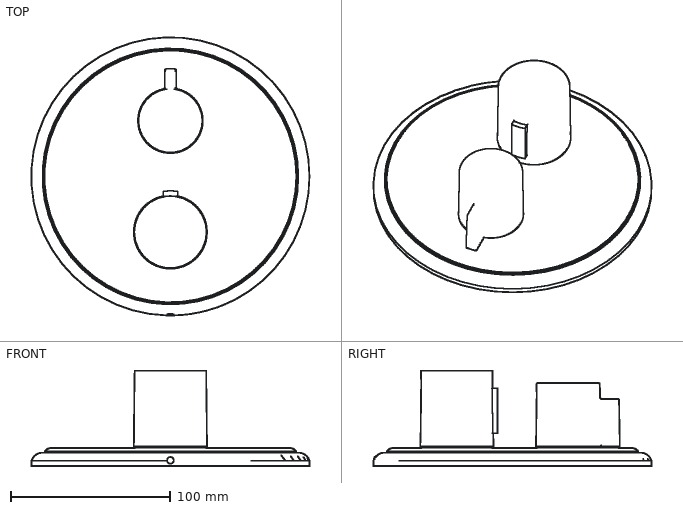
import cadquery as cq
import math

PLATE_RADIUS = 87.5
RIM_WALL_HEIGHT = 3.3
RIM_TOP_RADIUS = 80.5
RIM_TOP_HEIGHT = 8.5
RIM_BULGE = (85.4, 6.6)
GROOVE_OUTER_RADIUS = 80.0
GROOVE_INNER_RADIUS = 79.1
GROOVE_FLOOR = 8.0
DISC_EDGE_HEIGHT = 9.5
DISC_BULGE = (77.0, 11.0)
FACE_RADIUS = 74.0
PLATE_TOP = 11.5

KNOB_OFFSET = 35.0
KNOB_UNDERCUT = 0.9
LARGE_BASE_RADIUS = 23.1
LARGE_TOP_RADIUS = 22.5
LARGE_TOP = 60.0
LARGE_TOP_ROUND = 0.2
SMALL_BASE_RADIUS = 20.5
SMALL_TOP_RADIUS = 20.0
SMALL_TOP = 52.3
SMALL_TOP_ROUND = 1.0

LEVER_WIDTH = 7.3
LEVER_REACH = 32.5
LEVER_TOP = 42.3
LEVER_ROUND = 1.0
LEVER_DRAFT = 1.0
LEVER_JOINT_ROUND = 0.9

BUTTON_WIDTH = 9.1
BUTTON_BOTTOM = 20.6
BUTTON_TOP = 49.0
BUTTON_REACH = 25.9
BUTTON_SEAT = 20.0

PIN_RADIUS = 2.1
PIN_SEAT = 80.5
PIN_EDGE = 86.6
PIN_TIP = 87.3
PIN_HEIGHT = 3.7


def make_plate():
    """Stepped round plate with a groove inside its rounded rim and a hole for the pin."""
    profile = (
        cq.Workplane("XZ")
        .lineTo(PLATE_RADIUS, 0)
        .lineTo(PLATE_RADIUS, RIM_WALL_HEIGHT)
        .threePointArc(RIM_BULGE, (RIM_TOP_RADIUS, RIM_TOP_HEIGHT))
        .lineTo(GROOVE_OUTER_RADIUS, GROOVE_FLOOR)
        .lineTo(GROOVE_INNER_RADIUS, GROOVE_FLOOR)
        .lineTo(GROOVE_INNER_RADIUS, DISC_EDGE_HEIGHT)
        .threePointArc(DISC_BULGE, (FACE_RADIUS, PLATE_TOP))
        .lineTo(0, PLATE_TOP)
        .close()
    )
    return profile.revolve(360, (0, 0, 0), (0, 1, 0)).cut(make_pin_hole())


def make_pin_hole():
    """Radial cylinder that runs from the pin's inner end out through the rim."""
    return (
        cq.Workplane("XZ", origin=(0, -PIN_SEAT, PIN_HEIGHT))
        .circle(PIN_RADIUS)
        .extrude(PLATE_RADIUS - PIN_SEAT)
    )


def make_pin():
    """Radial pin with a shallow domed outer end."""
    dome_rise = PIN_TIP - PIN_EDGE
    dome_radius = (PIN_RADIUS**2 + dome_rise**2) / (2 * dome_rise)
    dome_middle = (
        PIN_RADIUS / 2,
        dome_radius - PIN_TIP - math.sqrt(dome_radius**2 - (PIN_RADIUS / 2) ** 2),
    )
    profile = (
        cq.Workplane("XY", origin=(0, 0, PIN_HEIGHT))
        .moveTo(0, -PIN_SEAT)
        .lineTo(PIN_RADIUS, -PIN_SEAT)
        .lineTo(PIN_RADIUS, -PIN_EDGE)
        .threePointArc(dome_middle, (0, -PIN_TIP))
        .close()
    )
    return profile.revolve(360, (0, 0, 0), (0, 1, 0))


def make_knob_barrel(y, base_radius, top_radius, top, top_round):
    """Tapered barrel on the plate, undercut at its foot and rounded at its top edge."""
    barrel = (
        cq.Workplane("XY", origin=(0, y, PLATE_TOP))
        .circle(base_radius)
        .workplane(offset=top - PLATE_TOP)
        .circle(top_radius)
        .loft()
    )
    return barrel.faces("<Z").edges().chamfer(KNOB_UNDERCUT).faces(">Z").edges().fillet(top_round)


def make_lever():
    """Drafted fin that runs out from the small knob's axis."""
    lever = (
        cq.Workplane("XY", origin=(0, KNOB_OFFSET + LEVER_REACH / 2, PLATE_TOP))
        .rect(LEVER_WIDTH, LEVER_REACH)
        .extrude(LEVER_TOP - PLATE_TOP, taper=LEVER_DRAFT)
    )
    lever = lever.faces("<Z").edges().chamfer(KNOB_UNDERCUT)
    return lever.faces(">Z or >Y").edges("not <Y").fillet(LEVER_ROUND)


def make_small_knob():
    """Small knob with its lever, blended where the lever's top meets the barrel."""
    barrel = make_knob_barrel(
        KNOB_OFFSET, SMALL_BASE_RADIUS, SMALL_TOP_RADIUS, SMALL_TOP, SMALL_TOP_ROUND
    )
    knob = barrel.union(make_lever())
    joint = cq.selectors.BoxSelector(
        (-LEVER_WIDTH / 4, KNOB_OFFSET + SMALL_TOP_RADIUS - 1.7, LEVER_TOP - 0.2),
        (LEVER_WIDTH / 4, KNOB_OFFSET + SMALL_TOP_RADIUS + 1.7, LEVER_TOP + 0.2),
    )
    return knob.edges(joint).fillet(LEVER_JOINT_ROUND)


def make_button():
    """Button in the large knob's side, its outer face curved about the knob's axis."""
    height = BUTTON_TOP - BUTTON_BOTTOM
    block = (
        cq.Workplane("XY", origin=(0, BUTTON_SEAT, 0))
        .box(BUTTON_WIDTH, BUTTON_REACH - BUTTON_SEAT, height, centered=(True, False, False))
    )
    outer_curve = cq.Workplane("XY").circle(BUTTON_REACH).extrude(height)
    return block.intersect(outer_curve).translate((0, -KNOB_OFFSET, BUTTON_BOTTOM))


def make_large_knob(button):
    """Large knob with a recess that fits the button."""
    barrel = make_knob_barrel(
        -KNOB_OFFSET, LARGE_BASE_RADIUS, LARGE_TOP_RADIUS, LARGE_TOP, LARGE_TOP_ROUND
    )
    return barrel.cut(button)


pin = make_pin()
plate = make_plate()
small_knob = make_small_knob()
button = make_button()
large_knob = make_large_knob(button)

result = cq.Compound.makeCompound(
    [plate.val(), pin.val(), small_knob.val(), large_knob.val(), button.val()]
)